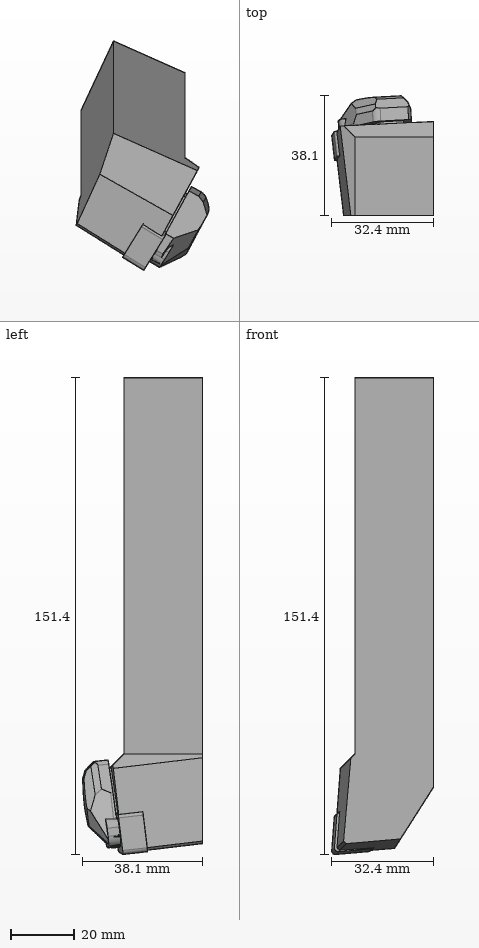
import cadquery as cq
import math

shank_width = 25.0
total_length = 151.35
head_top_z = 32.0
approach_angle = 5.0
relief_angle = 6.2
side_face_x = -3.95
end_face_z = 3.7
head_edge_flat = 0.5
elbow_z = 21.4
elbow_lean = 32.5
stock_margin = 15.0
trim_size = 3 * total_length

rake_y = 25.47
rake_across = 0.054
rake_along = 0.114

insert_side = 12.9
insert_corner_angle = 80.0
insert_corner_radius = 1.2
insert_thickness = 7.94
insert_tilt = 6.5
insert_corner = (-7.47, 25.2, -0.12)

clamp_rear = 30.3
left_rear = (6.9, clamp_rear)
right_rear = (17.3, clamp_rear)
right_shoulder = (18.2, 29.0)
right_waist = (18.2, 21.0)
nose = [(6.0, 3.2), (0.0, 2.4), (-3.4, 3.0), (-5.0, 6.0)]
left_waist = (-0.2, 19.9)
rear_corner_radius = 3.0

clamp_gap = 0.7
rear_wall_top = (clamp_rear, 4.8)
rear_slope_end = (27.7, 8.0)
crown_start = (25.3, 9.0)
crown_peak = (18.6, 9.46)
crown_end = (10.1, 9.2)
clamp_front = (2.4, 3.0)

side_wall_height = 4.2
flank_bevel = (0.8, 6.4)
flank_slope = (3.8, 10.2)
nose_facet_point = (-0.8, 28.0, 19.0)
nose_facet_normal = (-0.93, 0.16, 0.30)
front_facet_point = (-0.9, 35.4, 13.0)
front_facet_normal = (-0.40, 0.80, -0.33)
foot_inset = 2.5

claw_inset = 3.3
claw_side = 9.5
claw_height = 3.8
claw_radius = 3.4


def trim(body, point, outward):
    """Cut away everything beyond the plane through point with the given outward normal."""
    beyond = (cq.Workplane(cq.Plane(origin=point, normal=outward))
              .rect(trim_size, trim_size).extrude(trim_size))
    return body.cut(beyond)


def make_rake_plane():
    """Rake face plane: local x runs along +X and local y along -Z."""
    return cq.Plane(origin=(0, rake_y, 0), xDir=(1, rake_across, 0),
                    normal=(-rake_across, 1, -rake_along))


def make_insert_plane():
    """Plane of the insert's top face: local x follows the end cutting edge."""
    lean = math.radians(approach_angle)
    slope = math.tan(math.radians(insert_tilt))
    end_edge = (math.cos(lean), slope * (math.cos(lean) + math.sin(lean)), math.sin(lean))
    return cq.Plane(origin=insert_corner, xDir=end_edge, normal=(-slope, 1, -slope))


rake_plane = make_rake_plane()
insert_plane = make_insert_plane()


def rhombus(inset, side, height, corner_radius):
    """Rounded rhombic prism on the insert's top face, moved in along its diagonal."""
    corner = math.radians(insert_corner_angle)
    start_x = inset * math.cos(corner / 2)
    start_y = -inset * math.sin(corner / 2)
    prism = (cq.Workplane(insert_plane)
             .moveTo(start_x, start_y)
             .line(side, 0)
             .line(side * math.cos(corner), -side * math.sin(corner))
             .line(-side, 0)
             .close()
             .extrude(height))
    return prism.edges(cq.selectors.ParallelDirSelector(insert_plane.zDir)).fillet(corner_radius)


def make_insert():
    return rhombus(0, insert_side, -insert_thickness, insert_corner_radius)


def make_shank():
    return (cq.Workplane("XY").workplane(offset=head_top_z)
            .rect(shank_width, shank_width, centered=False)
            .extrude(total_length - head_top_z))


def make_head():
    """Head block trimmed to its side, end, elbow, shoulder and rake faces."""
    lean = math.tan(math.radians(approach_angle))
    relief = math.tan(math.radians(relief_angle))
    elbow = math.radians(elbow_lean)
    side_normal = cq.Vector(-1, -relief, lean)
    end_normal = cq.Vector(lean, -relief, -1)
    stock_width = shank_width + stock_margin
    head = (cq.Workplane("XY")
            .box(stock_width, stock_width, head_top_z + stock_margin, centered=False)
            .translate((-stock_margin, 0, -stock_margin)))
    head = trim(head, (side_face_x, 0, 0), side_normal)
    head = trim(head, (0, 0, end_face_z), end_normal)
    head = trim(head, (shank_width, 0, elbow_z), (math.cos(elbow), 0, -math.sin(elbow)))

    head = trim(head, (0, 0, head_top_z), (-1, 0, 1))
    head = trim(head, (0, shank_width, head_top_z), (0, 1, 1))
    head = trim(head, rake_plane.origin, rake_plane.zDir)

    edge_z = (end_face_z + lean * side_face_x) / (1 - lean ** 2)
    edge_x = side_face_x + lean * edge_z
    flat_point = (edge_x + head_edge_flat, 0, edge_z + head_edge_flat)
    return trim(head, flat_point, side_normal + end_normal)


def on_rake(point, height=0):
    """Position in space of an (across, along) point at a height above the rake face."""
    return rake_plane.toWorldCoords((point[0], -point[1], height))


def flank_cutter(start, end):
    """Waste above the two bevels of a clamp flank that runs from start to end."""
    direction = (on_rake(end) - on_rake(start)).normalized()
    length = (on_rake(end) - on_rake(start)).Length + 2 * stock_margin
    section = cq.Plane(origin=on_rake(end) + direction * stock_margin,
                       xDir=direction.cross(rake_plane.zDir), normal=-direction)
    bevel_inset, bevel_height = flank_bevel
    slope_inset, slope_height = flank_slope
    waste_top = slope_height + stock_margin
    return (cq.Workplane(section)
            .moveTo(0, side_wall_height)
            .lineTo(-bevel_inset, bevel_height)
            .lineTo(-slope_inset, slope_height)
            .lineTo(-slope_inset, waste_top)
            .lineTo(stock_margin, waste_top)
            .lineTo(stock_margin, side_wall_height)
            .close()
            .extrude(length))


def clamp_outline(offset):
    """Closed plan of the clamp at an offset above the rake face."""
    plan = [left_rear, right_rear, right_shoulder, right_waist, *nose, left_waist]
    return (cq.Workplane(rake_plane).workplane(offset=offset)
            .polyline([(across, -along) for across, along in plan]).close())


def make_hump():
    """Side profile of the clamp, swept across its whole width."""
    far_side = rake_plane.toWorldCoords((shank_width + stock_margin, 0, 0))
    profile_plane = cq.Plane(origin=far_side, xDir=-rake_plane.yDir, normal=-rake_plane.xDir)
    return (cq.Workplane(profile_plane)
            .moveTo(clamp_rear, 0)
            .lineTo(*rear_wall_top)
            .lineTo(*rear_slope_end)
            .lineTo(*crown_start)
            .threePointArc(crown_peak, crown_end)
            .lineTo(*clamp_front)
            .lineTo(clamp_front[0], 0)
            .close()
            .extrude(shank_width + 2 * stock_margin))


def make_clamp():
    """Clamp body on its foot, with a humped back, bevelled flanks and a faceted nose."""
    block_height = crown_peak[1]
    body = clamp_outline(clamp_gap).extrude(block_height)
    rear_corner = on_rake(left_rear, block_height / 2).toTuple()
    body = body.edges(cq.selectors.NearestToPointSelector(rear_corner)).fillet(rear_corner_radius)
    body = body.intersect(make_hump())
    for start, end in [(left_waist, left_rear), (right_shoulder, right_waist)]:
        body = body.cut(flank_cutter(start, end))
    body = trim(body, nose_facet_point, nose_facet_normal)
    body = trim(body, front_facet_point, front_facet_normal)

    foot = clamp_outline(-clamp_gap).offset2D(-foot_inset).extrude(3 * clamp_gap)
    claw = rhombus(claw_inset, claw_side, claw_height, claw_radius)
    return body.union(foot).union(claw)


insert = make_insert()

holder = make_shank().union(make_head()).union(make_clamp()).cut(insert)

result = cq.Compound.makeCompound([holder.solids().val(), insert.solids().val()])